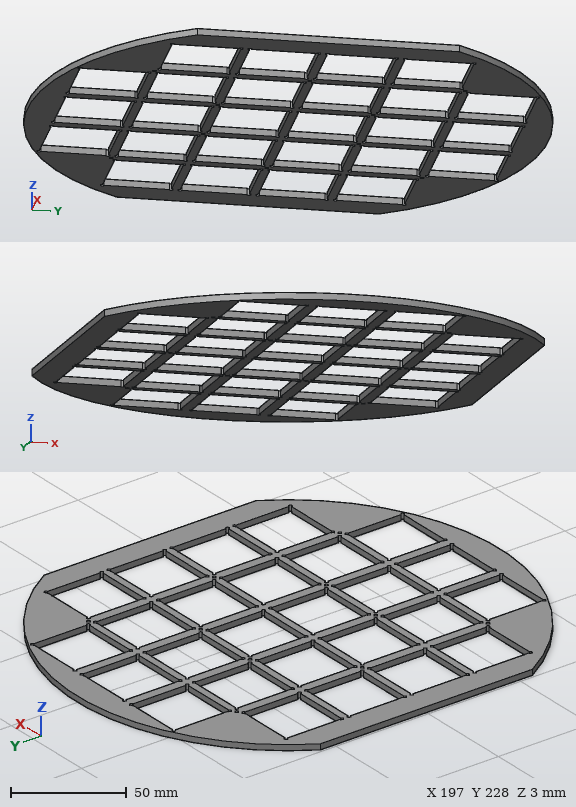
import cadquery as cq

plate_diameter = 228.0
width_across_flats = 197.0
thickness = 3.0

window_size = 30.2
web_width_x = 5.0
web_width_y = 3.8
pitch_x = window_size + web_width_x
pitch_y = window_size + web_width_y
column_count = 5
row_count = 6

relief_diameter = 1.6
pin_hole_diameter = 1.6


def window_centers():
    """Centers of the window grid, leaving out its four corner cells."""
    centers = []
    for column in range(column_count):
        for row in range(row_count):
            in_end_column = column in (0, column_count - 1)
            in_end_row = row in (0, row_count - 1)
            if in_end_column and in_end_row:
                continue
            x = (column - (column_count - 1) / 2) * pitch_x
            y = (row - (row_count - 1) / 2) * pitch_y
            centers.append((x, y))
    return centers


def window_corners(centers):
    """The four corners of every window."""
    half = window_size / 2
    return [(x + dx, y + dy) for x, y in centers for dx in (-half, half) for dy in (-half, half)]


def pin_hole_centers():
    """Web crossings with a pin hole: the outer and inner vertical webs use alternate horizontal webs."""
    inner_x = pitch_x / 2
    outer_x = inner_x + pitch_x
    holes_per_web = ((outer_x, (-2, 0, 2)), (inner_x, (-1, 1)))
    return [
        (side * web_x, crossing * pitch_y)
        for web_x, crossings in holes_per_web
        for side in (-1, 1)
        for crossing in crossings
    ]


def make_plate():
    """Disc trimmed by flats on its -X and +X sides."""
    disc = cq.Workplane("XY").circle(plate_diameter / 2).extrude(thickness)
    trim = cq.Workplane("XY").rect(width_across_flats, plate_diameter).extrude(thickness)
    return disc.intersect(trim)


def make_round_cutters(points, diameter):
    """Full-depth cylinders at the given points."""
    return cq.Workplane("XY").pushPoints(points).circle(diameter / 2).extrude(thickness)


def make_window_cutters(centers):
    """Square windows joined with a round relief at each corner."""
    squares = cq.Workplane("XY").pushPoints(centers).rect(window_size, window_size).extrude(thickness)
    return squares.union(make_round_cutters(window_corners(centers), relief_diameter))


result = (
    make_plate()
    .cut(make_window_cutters(window_centers()))
    .cut(make_round_cutters(pin_hole_centers(), pin_hole_diameter))
)